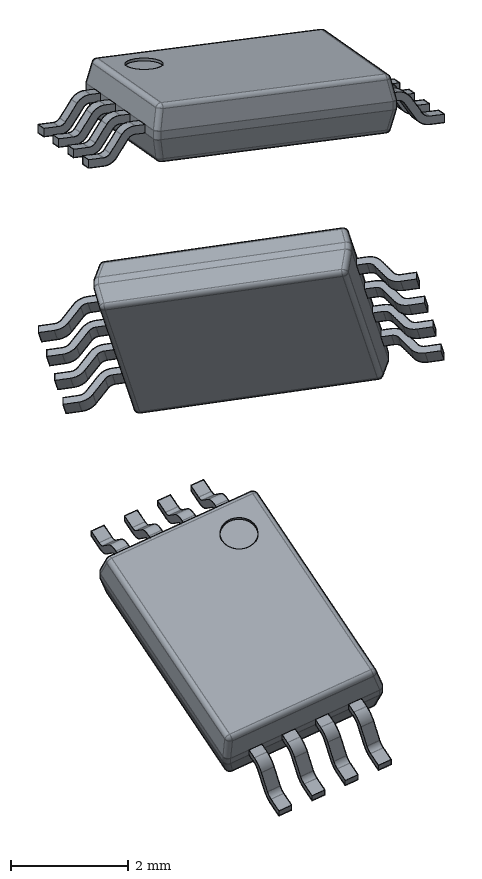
import cadquery as cq
import math


span_over_leads = 6.6
overall_height = 1.1

housing_width = 3.1
housing_length = 4.5
standoff = 0.05
draft_angle = 12.0
edge_radius = 0.1

leads_per_side = 4
lead_pitch = 0.65
lead_width = 0.25
lead_thickness = 0.15
foot_length = 0.28
bend_angle = 55.0
inner_bend_radius = 0.15

marker_diameter = 0.65
marker_x = -0.77
marker_y = -1.47
marker_thickness = 0.05
marker_recess = 0.05

housing_middle = (standoff + overall_height) / 2
band_bottom = housing_middle - lead_thickness / 2
band_top = housing_middle + lead_thickness / 2
drafted_height = overall_height - band_top
marker_seat = overall_height - marker_recess - marker_thickness


def make_marker(height):
    """Upright cylinder of the marker diameter, standing on the marker seat."""
    return (
        cq.Workplane("XY", origin=(marker_x, marker_y, marker_seat))
        .circle(marker_diameter / 2)
        .extrude(height)
    )


def make_housing():
    """Block with an upright band, drafted walls, rounded edges and a marker recess."""
    band = (
        cq.Workplane("XY", origin=(0, 0, band_bottom))
        .rect(housing_width, housing_length)
        .extrude(lead_thickness)
    )
    upper = (
        cq.Workplane("XY", origin=(0, 0, band_top))
        .rect(housing_width, housing_length)
        .extrude(drafted_height, taper=draft_angle)
    )
    lower = upper.mirror("XY", (0, 0, housing_middle))
    block = band.union(upper).union(lower)
    block = block.edges("(not #Z) or <Z or >Z").fillet(edge_radius)
    return block.cut(make_marker(overall_height - marker_seat))


def make_lead():
    """Gull-wing lead centred on X = 0, from its tip at -Y to the housing wall."""
    tip_y = -span_over_leads / 2
    wall_y = -housing_length / 2
    slope = math.radians(bend_angle)
    half_bend = math.tan(slope / 2)
    outer_bend_radius = inner_bend_radius + lead_thickness

    heel_y = tip_y + foot_length + outer_bend_radius * half_bend
    knee_y = heel_y + band_bottom / math.tan(slope)
    set_back = lead_thickness * half_bend
    heel_outer = (heel_y, 0)
    heel_inner = (heel_y - set_back, lead_thickness)
    knee_inner = (knee_y, band_bottom)
    knee_outer = (knee_y - set_back, band_top)

    outline = [
        (tip_y, 0),
        heel_outer,
        knee_inner,
        (wall_y, band_bottom),
        (wall_y, band_top),
        knee_outer,
        heel_inner,
        (tip_y, lead_thickness),
    ]
    lead = cq.Workplane("YZ").polyline(outline).close().extrude(lead_width / 2, both=True)

    bends = [
        (heel_inner, inner_bend_radius),
        (knee_inner, inner_bend_radius),
        (heel_outer, outer_bend_radius),
        (knee_outer, outer_bend_radius),
    ]
    for corner, radius in bends:
        corner_edge = cq.selectors.NearestToPointSelector((0, *corner))
        lead = lead.edges(corner_edge).fillet(radius)
    return lead


def make_leads():
    """Four leads along the -Y wall and four turned half a circle along the +Y wall."""
    lead = make_lead().val()
    first_x = -lead_pitch * (leads_per_side - 1) / 2
    leads = []
    for side_angle in (0, 180):
        side_lead = lead.rotate((0, 0, 0), (0, 0, 1), side_angle)
        for index in range(leads_per_side):
            leads.append(side_lead.translate((first_x + index * lead_pitch, 0, 0)))
    return leads


housing = make_housing()
leads = make_leads()
marker = make_marker(marker_thickness)

result = cq.Compound.makeCompound([housing.val(), *leads, marker.val()])